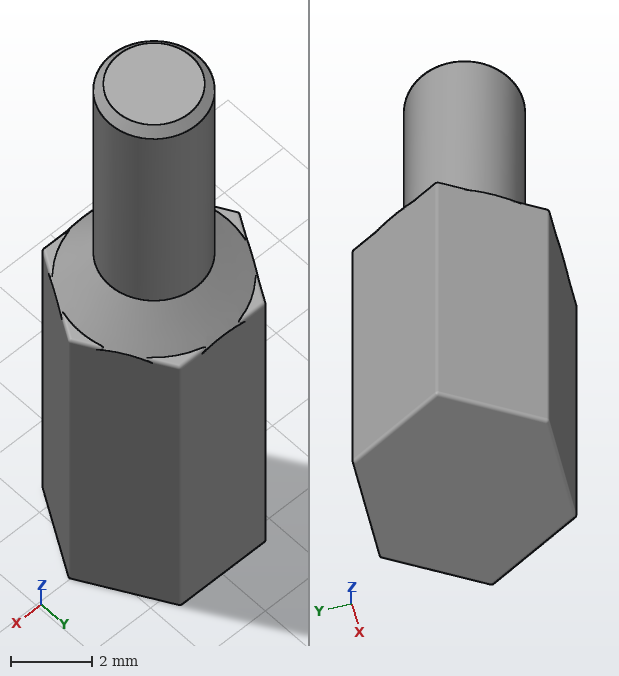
import cadquery as cq
import math

across_flats = 5.0
across_corners = across_flats / math.cos(math.pi / 6)
body_height = 10.0
edge_radius = 0.1

shoulder_height = 1.0
stud_diameter = 3.0
total_height = 18.0
tip_chamfer = 0.25


def hex_prism(height):
    """Sharp-edged hexagonal prism standing on the XY plane."""
    return cq.Workplane("XY").polygon(6, across_corners).extrude(height)


def make_body():
    """Hexagonal body with every edge rounded."""
    return hex_prism(body_height).edges().fillet(edge_radius)


def make_stud():
    """Chamfered stud on a cone that is as wide as the flats at the top of the body.

    The cone keeps widening through the depth of the rounded rim, so its foot
    fills the rim at the middle of each flat. It is trimmed flush with the flats.
    """
    stud_radius = stud_diameter / 2
    shoulder_radius = across_flats / 2
    shoulder_top = body_height + shoulder_height
    cone_slope = (shoulder_radius - stud_radius) / shoulder_height
    foot_height = body_height - edge_radius
    foot_radius = shoulder_radius + cone_slope * edge_radius
    half_profile = (
        cq.Workplane("XZ")
        .moveTo(0, foot_height)
        .lineTo(foot_radius, foot_height)
        .lineTo(stud_radius, shoulder_top)
        .lineTo(stud_radius, total_height - tip_chamfer)
        .lineTo(stud_radius - tip_chamfer, total_height)
        .lineTo(0, total_height)
        .close()
    )
    turned_stud = half_profile.revolve(360, (0, 0, 0), (0, 1, 0))
    return turned_stud.intersect(hex_prism(total_height))


result = make_body().union(make_stud())